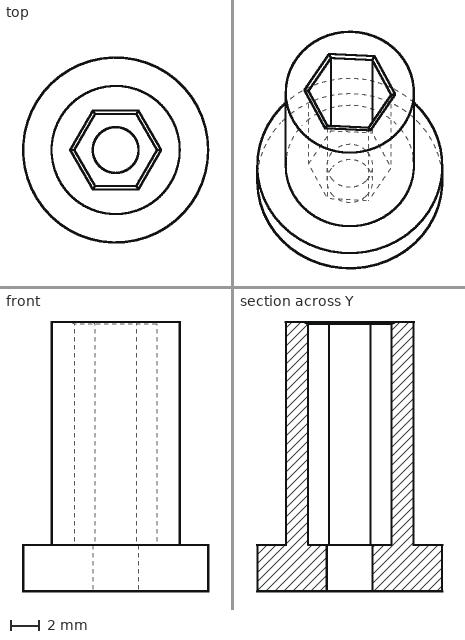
import cadquery as cq
import math

total_height = 18.91
flange_diameter = 13.0
flange_height = 3.25
shank_diameter = 9.0
bore_diameter = 3.2
socket_across_flats = 5.03
lead_in_width = 0.25
lead_in_slope = 30.0

shank_height = total_height - flange_height
lead_in_depth = lead_in_width * math.tan(math.radians(lead_in_slope))
mouth_across_flats = socket_across_flats + 2 * lead_in_width
socket_depth = shank_height


def across_corners(across_flats):
    """Corner-to-corner size of a regular hexagon."""
    return across_flats / math.cos(math.radians(30))


def make_body():
    """Round shank standing on a wider round flange, base at Z = 0."""
    flange = cq.Workplane("XY").circle(flange_diameter / 2).extrude(flange_height)
    return flange.faces(">Z").workplane().circle(shank_diameter / 2).extrude(shank_height)


def make_hex_socket():
    """Straight hexagonal socket, with corners on the X axis."""
    return (
        cq.Workplane("XY", origin=(0, 0, total_height - socket_depth))
        .polygon(6, across_corners(socket_across_flats))
        .extrude(socket_depth)
    )


def make_lead_in():
    """Shallow hexagonal taper that widens the socket mouth."""
    return (
        cq.Workplane("XY", origin=(0, 0, total_height - lead_in_depth))
        .polygon(6, across_corners(socket_across_flats))
        .workplane(offset=lead_in_depth)
        .polygon(6, across_corners(mouth_across_flats))
        .loft(ruled=True)
    )


def make_bore():
    """Round hole along the whole axis."""
    return cq.Workplane("XY").circle(bore_diameter / 2).extrude(total_height)


result = make_body().cut(make_hex_socket()).cut(make_lead_in()).cut(make_bore())